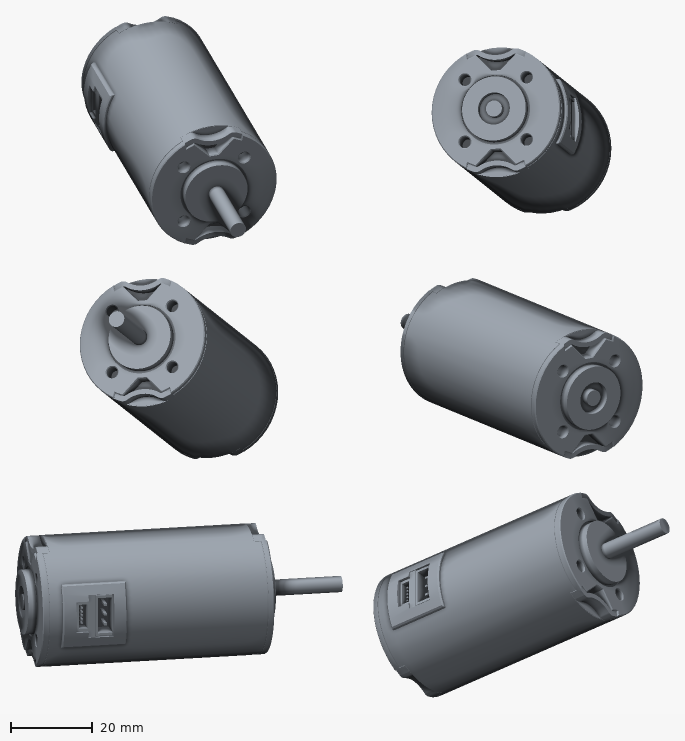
import cadquery as cq
import math

total_length = 80.0
boss_height = 2.0
body_length = 58.0
body_radius = 16.2
body_edge_chamfer = 0.2
boss_radius = 8.0
boss_groove_radius = 8.6
boss_groove_depth = 0.4
shaft_radius = 2.0
body_start = boss_height
body_end = body_start + body_length
body_middle = (body_start + body_end) / 2
overcut = 0.8

bearing_radius = 4.0
bearing_depth = 2.0

hole_offset = 7.8
hole_radius = 1.4
hole_chamfer = 0.2
hole_depth = 4.0

ear_depth = 3.4
ear_half_width = 7.6
relief_depth = 0.4
relief_lip = 0.2
relief_half_width = 7.4
relief_outer = (7.0, 13.0)
relief_peak = (5.0, 13.9)
scoop_center_height = 21.1
scoop_radius = 7.4
scoop_blend = 1.9
rib_thickness = 1.2
rib_radius = scoop_radius + rib_thickness
pocket_bottom_half_width = 1.1
pocket_bottom_height = 9.9

plate_thickness = 1.5
seam_width = 0.2
ear_seam_width = 0.1
seam_depth = 0.12

cover_radius = 17.0
cover_start = 6.9
cover_length = 16.1
cover_height = 16.1
cover_chamfer = 0.3
gap_floor = 15.2
connector_front = 15.9
pin_setback = 0.7


def cylinder(radius, start, length):
    """Cylinder on the motor axis."""
    return cq.Workplane("YZ", origin=(start, 0, 0)).circle(radius).extrude(length)


def slab(start, end, half_width, bottom, top):
    """Box centred on Y = 0 between two X stations and two heights."""
    size = (end - start, 2 * half_width, top - bottom)
    return cq.Workplane("XY").box(*size, centered=(False, True, False)).translate((start, 0, bottom))


def connector_box(start, end, half_height, inner, outer):
    """Box centred on Z = 0 between two distances from the axis on the -Y side."""
    size = (end - start, outer - inner, 2 * half_height)
    return cq.Workplane("XY").box(*size, centered=(False, False, True)).translate((start, -outer, 0))


def end_face_plane():
    """Sketch plane on the rear end face, with local axes along Y and Z."""
    return cq.Workplane("YZ", origin=(body_start, 0, 0))


def scoop_cut():
    """Finger scoop across the top ear, blended into the round body on both sides."""
    start = body_start
    ear = cylinder(body_radius, start, ear_depth).intersect(
        slab(start, start + ear_depth, ear_half_width, 0, body_radius)
    )
    scoop = end_face_plane().center(0, scoop_center_height).circle(scoop_radius).extrude(ear_depth)
    cross_height = (body_radius**2 + scoop_center_height**2 - scoop_radius**2) / (2 * scoop_center_height)
    cross_half_width = math.sqrt(body_radius**2 - cross_height**2)
    scooped_ear = ear.cut(scoop)
    for side in (-1, 1):
        crossing = (start + ear_depth / 2, side * cross_half_width, cross_height)
        scooped_ear = scooped_ear.edges(cq.selectors.NearestToPointSelector(crossing)).fillet(scoop_blend)
    return ear.cut(scooped_ear)


def relief_cut():
    """Shallow step on the end face above the zigzag outline of the top ear, with a bevelled lip."""
    top = body_radius + overcut
    outline = [
        (-relief_half_width, top),
        (-relief_half_width, math.sqrt(body_radius**2 - relief_half_width**2)),
        (-relief_outer[0], relief_outer[1]),
        (-relief_peak[0], relief_peak[1]),
        (-pocket_bottom_half_width, pocket_bottom_height),
    ]
    mirrored = [(-y, z) for y, z in reversed(outline)]
    step = end_face_plane().polyline(outline + mirrored).close().extrude(relief_depth)
    lip_outline = step.faces("<X").wires().toPending().offset2D(relief_lip, "intersection")
    lip = lip_outline.extrude(relief_lip, combine=False, taper=45)
    return step.union(lip)


def pocket_cut():
    """Tapered pocket behind the relief, under the curved rib of the top ear."""
    points = [
        (-relief_peak[0], relief_peak[1]),
        (-pocket_bottom_half_width, pocket_bottom_height),
        (pocket_bottom_half_width, pocket_bottom_height),
        relief_peak,
    ]
    wedge = end_face_plane().polyline(points).close().extrude(ear_depth)
    rib = end_face_plane().center(0, scoop_center_height).circle(rib_radius).extrude(ear_depth)
    return wedge.cut(rib)


def seam_cut():
    """Fine groove that follows the joint between the end plate, its two ears and the tube."""
    joint = body_start + plate_thickness
    ear_end = body_start + ear_depth
    reach = body_radius + overcut
    ring = cylinder(reach, joint, seam_width).cut(
        slab(joint, joint + seam_width, ear_half_width, -reach, reach)
    )
    ear_outline = slab(joint, ear_end + ear_seam_width, ear_half_width, -reach, reach).cut(
        slab(joint, ear_end, ear_half_width - ear_seam_width, -reach, reach)
    )
    core = cylinder(body_radius - seam_depth, joint, ear_depth)
    return ring.union(ear_outline).cut(core)


def mounting_hole_cuts():
    """Four chamfered holes in the end face."""
    spacing = 2 * hole_offset
    centers = end_face_plane().rect(spacing, spacing, forConstruction=True).vertices()
    countersink = cq.Solid.makeCone(
        hole_radius + hole_chamfer, hole_radius, hole_chamfer, cq.Vector(0, 0, 0), cq.Vector(0, 0, 1)
    )
    holes = centers.circle(hole_radius).extrude(hole_depth)
    return holes.union(centers.eachpoint(lambda place: countersink.moved(place), useLocalCoordinates=True))


def end_cuts():
    """Everything removed from the rear end of the body; the front end is its mirror image."""
    ear_cuts = scoop_cut().union(relief_cut()).union(pocket_cut())
    boss_groove = cylinder(boss_groove_radius, body_start, boss_groove_depth)
    return [ear_cuts, ear_cuts.mirror("XY"), seam_cut(), mounting_hole_cuts(), boss_groove]


def cut_both_ends(body):
    """Cut the rear end details and their mirror images at the front end."""
    for cut in end_cuts():
        body = body.cut(cut).cut(cut.mirror("YZ", (body_middle, 0, 0)))
    return body


def cover():
    """Curved pad on the tube, concentric with it, with bevelled outer edges."""
    pad = cylinder(cover_radius, cover_start, cover_length).intersect(
        connector_box(cover_start, cover_start + cover_length, cover_height / 2, body_radius / 2, cover_radius)
    )
    outer_face = cq.selectors.NearestToPointSelector((cover_start + cover_length / 2, -cover_radius, 0))
    return pad.faces(outer_face).edges().chamfer(cover_chamfer)


def add_connector(body, opening, housing, socket, socket_depth, pin):
    """Open the cover, leave a housing inside, sink its socket and stand a row of pins in it.

    opening, housing and socket are (X start, X end, half height);
    pin is (X centre, X width, height, count, pitch).
    """
    socket_floor = connector_front - socket_depth
    body = body.cut(connector_box(*opening, gap_floor, cover_radius))
    body = body.union(connector_box(*housing, gap_floor, connector_front))
    body = body.cut(connector_box(*socket, socket_floor, connector_front))
    pin_x, pin_width, pin_height, pin_count, pin_pitch = pin
    blade = connector_box(
        pin_x - pin_width / 2, pin_x + pin_width / 2, pin_height / 2, socket_floor, connector_front - pin_setback
    )
    for index in range(pin_count):
        body = body.union(blade.translate((0, 0, (index - (pin_count - 1) / 2) * pin_pitch)))
    return body


motor = cylinder(body_radius, body_start, body_length).edges().chamfer(body_edge_chamfer)
motor = cut_both_ends(motor)
motor = motor.union(cylinder(boss_radius, 0, body_length + 2 * boss_height))
motor = motor.cut(cylinder(bearing_radius, 0, bearing_depth))
motor = motor.union(cylinder(shaft_radius, 0, total_length))

divider_start = 13.4
divider_end = 15.1
power_end = 19.7
power_half_height = 5.4
motor = motor.union(cover())
motor = add_connector(
    motor,
    opening=(10.2, divider_start, 3.9),
    housing=(10.4, divider_start, 3.8),
    socket=(11.0, 13.1, 3.0),
    socket_depth=3.2,
    pin=(11.9, 0.5, 0.4, 5, 1.0),
)
motor = add_connector(
    motor,
    opening=(divider_start, power_end, power_half_height),
    housing=(15.3, 19.4, 5.1),
    socket=(15.8, 19.5, 4.5),
    socket_depth=5.6,
    pin=(17.8, 0.7, 0.6, 3, 2.5),
)
motor = motor.union(connector_box(divider_start, divider_end, power_half_height, gap_floor, connector_front))

result = motor